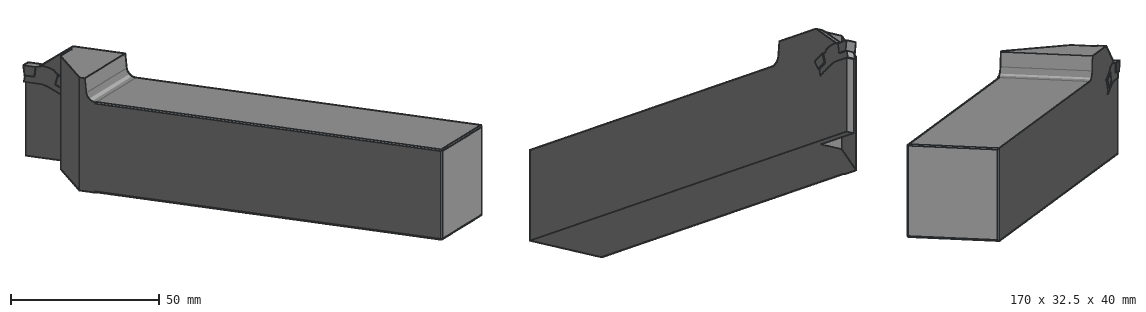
import cadquery as cq
import math

tool_length = 170.0
shank_size = 32.0
head_height = 40.0
edge_chamfer = 0.5

head_front_x = 18.0
head_cheek_y = 19.9
slant_end_x = 34.5
head_back_x = 36.5
back_run = 0.8
back_fillet = 3.4

blade_front_x = 0.7
blade_thickness = 3.0
blade_inner_y = shank_size - blade_thickness
ramp_top_x = 17.0
ramp_foot_x = 6.5
ramp_foot_z = 32.6

cutting_edge_z = shank_size
insert_height = 6.0
insert_span = 17.5
insert_bend = 24.0
rake_length = 5.5
step_length = 1.2
step_height = 0.5
flat_seat_length = 6.0
end_relief = 0.5
tip_length = 4.6
tip_back_relief = 0.5
tip_depth = 3.5
tip_overhang = 0.5


def far_end(point):
    """Mirror an XZ point of the first end onto the second end of the insert."""
    tilt = math.radians(insert_bend / 2)
    along_x = math.cos(tilt)
    along_z = -math.sin(tilt)
    x, z = point
    distance = x * along_x + (z - cutting_edge_z) * along_z
    shift = insert_span - 2 * distance
    return (x + shift * along_x, z + shift * along_z)


def arc_middle(start):
    """Middle point of the arc that leaves start level and ends at its mirror point."""
    end = far_end(start)
    chord = math.dist(start, end)
    tilt = math.radians(insert_bend / 2)
    rise = chord / 2 * math.tan(tilt / 2)
    middle_x = (start[0] + end[0]) / 2 + rise * math.sin(tilt)
    middle_z = (start[1] + end[1]) / 2 + rise * math.cos(tilt)
    return (middle_x, middle_z)


def extrude_across(profile, low_y, high_y):
    """Extrude an XZ profile from low_y to high_y."""
    return profile.extrude(low_y - high_y).translate((0, low_y, 0))


def make_insert():
    top_front = (0, cutting_edge_z)
    rake_end = (rake_length, cutting_edge_z)
    crown_start = (rake_length + step_length, cutting_edge_z + step_height)
    bottom_front = (0, cutting_edge_z - insert_height)
    tip_foot = (end_relief, cutting_edge_z - tip_depth)
    seat_end = (flat_seat_length, cutting_edge_z - insert_height)

    web = (
        cq.Workplane("XZ")
        .moveTo(*top_front)
        .lineTo(*rake_end)
        .lineTo(*crown_start)
        .threePointArc(arc_middle(crown_start), far_end(crown_start))
        .lineTo(*far_end(rake_end))
        .lineTo(*far_end(top_front))
        .lineTo(*far_end(tip_foot))
        .lineTo(*far_end(bottom_front))
        .lineTo(*far_end(seat_end))
        .threePointArc(arc_middle(seat_end), seat_end)
        .lineTo(*bottom_front)
        .lineTo(*tip_foot)
        .close()
    )
    body = extrude_across(web, blade_inner_y, shank_size)

    tip = [
        top_front,
        (tip_length, cutting_edge_z),
        (tip_length - tip_back_relief, cutting_edge_z - tip_depth),
        tip_foot,
    ]
    for corners in (tip, [far_end(corner) for corner in tip]):
        outline = cq.Workplane("XZ").polyline(corners).close()
        body = body.union(
            extrude_across(outline, blade_inner_y - tip_overhang, shank_size + tip_overhang)
        )
    return body


def make_shank():
    shank = cq.Workplane("XY").box(
        tool_length - slant_end_x, shank_size, shank_size, centered=False
    ).translate((slant_end_x, 0, 0))
    return shank.faces(">X").edges().chamfer(edge_chamfer).edges("|X and <Y").chamfer(edge_chamfer)


def make_head():
    plan = (
        cq.Workplane("XY")
        .polyline([
            (blade_front_x, shank_size),
            (blade_front_x, blade_inner_y),
            (head_front_x, blade_inner_y),
            (head_front_x, head_cheek_y),
            (slant_end_x, 0),
            (tool_length / 2, 0),
            (tool_length / 2, shank_size),
        ])
        .close()
        .extrude(head_height)
    )
    back_rise = head_height - shank_size
    back_length = math.hypot(back_run, back_rise)
    corner_x = head_back_x + back_run
    bisector = math.atan2(back_rise / back_length, 1 - back_run / back_length)
    tangent = back_fillet / math.tan(bisector)
    slope_point = (
        corner_x - tangent * back_run / back_length,
        shank_size + tangent * back_rise / back_length,
    )
    to_arc = back_fillet / math.sin(bisector) - back_fillet
    arc_point = (
        corner_x + to_arc * math.cos(bisector),
        shank_size + to_arc * math.sin(bisector),
    )
    side = (
        cq.Workplane("XZ")
        .moveTo(blade_front_x, 0)
        .lineTo(blade_front_x, cutting_edge_z)
        .lineTo(ramp_foot_x, cutting_edge_z)
        .lineTo(ramp_foot_x, ramp_foot_z)
        .lineTo(ramp_top_x, head_height)
        .lineTo(head_back_x, head_height)
        .lineTo(*slope_point)
        .threePointArc(arc_point, (corner_x + tangent, shank_size))
        .lineTo(corner_x + tangent, 0)
        .close()
    )
    return plan.intersect(extrude_across(side, 0, shank_size))


def make_holder(insert):
    return make_head().union(make_shank()).cut(insert)


insert = make_insert()
holder = make_holder(insert)

result = cq.Compound.makeCompound([holder.solids().val(), insert.solids().val()])